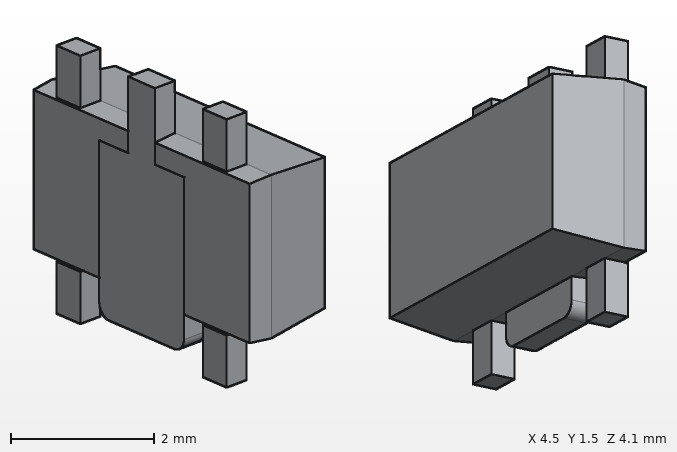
import cadquery as cq

BODY_WIDTH = 4.5
BODY_HEIGHT = 2.5
TOTAL_DEPTH = 1.5
FRONT_DEPTH = 0.382
BACK_DEPTH = TOTAL_DEPTH - FRONT_DEPTH
DRAFT_ANGLE = 5.0

TOTAL_HEIGHT = 4.1
LEAD_WIDTH = 0.49
LEAD_SPACING = 3.0
LEAD_LENGTH = (TOTAL_HEIGHT - BODY_HEIGHT) / 2

PAD_WIDTH = 1.735
PAD_BOTTOM = -1.81
PAD_TOP = 0.88
PAD_CORNER_RADIUS = 0.205
NECK_WIDTH = 0.55
NECK_TOP = TOTAL_HEIGHT / 2


def upright_plane(normal_y):
    """XZ plane through the parting line, extruding towards normal_y."""
    return cq.Plane(origin=(0, 0, 0), xDir=(1, 0, 0), normal=(0, normal_y, 0))


def front_block(width, bottom, top):
    """Block centred on X, from the front face back to the parting plane."""
    return (
        cq.Workplane("XY")
        .box(width, FRONT_DEPTH, top - bottom)
        .translate((0, -FRONT_DEPTH / 2, (bottom + top) / 2))
    )


def make_tab():
    pad = front_block(PAD_WIDTH, PAD_BOTTOM, PAD_TOP)
    pad = pad.edges("|Y and <Z").fillet(PAD_CORNER_RADIUS)
    neck = front_block(NECK_WIDTH, PAD_TOP, NECK_TOP)
    return pad.union(neck)


def body_half(normal_y, depth):
    """Half of the body, tapering from the parting plane to its outer face."""
    return (
        cq.Workplane(upright_plane(normal_y))
        .rect(BODY_WIDTH, BODY_HEIGHT)
        .extrude(depth, taper=DRAFT_ANGLE)
    )


def make_body(tab):
    """Both halves as one solid, with a matching recess for the tab."""
    return body_half(-1, FRONT_DEPTH).union(body_half(1, BACK_DEPTH)).cut(tab)


def make_lead(x_side, z_side):
    """Corner lead, starting level with the widest edge of the body."""
    lead = front_block(LEAD_WIDTH, 0, LEAD_LENGTH)
    lead_bottom = BODY_HEIGHT / 2 if z_side > 0 else -TOTAL_HEIGHT / 2
    return lead.translate((x_side * LEAD_SPACING / 2, 0, lead_bottom))


tab = make_tab()
body = make_body(tab)
leads = [make_lead(x_side, z_side) for x_side in (-1, 1) for z_side in (-1, 1)]

result = cq.Compound.makeCompound([body.val(), tab.val(), *[lead.val() for lead in leads]])